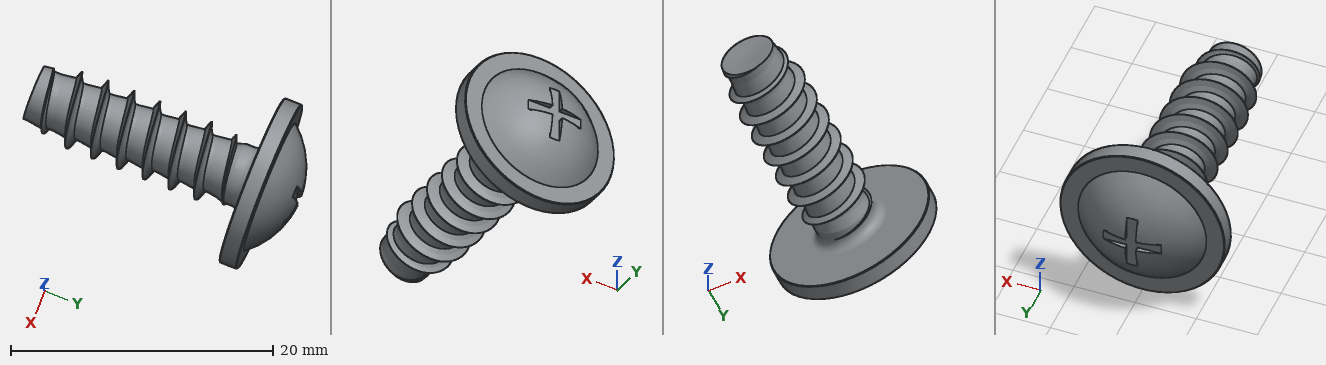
import cadquery as cq
import math


flange_radius = 6.75
flange_thickness = 1.42
flange_edge_chamfer = 0.07
dome_radius_at_flange = 5.25
dome_height = 2.52
slot_width = 0.88
slot_floor_height = 2.08

collar_radius = 2.4
collar_length = 1.45
collar_fillet = 0.77
root_radius = 2.13
collar_taper_end_depth = 2.52
collar_taper_end_radius = 2.08
shank_length = 17.99
tip_dish_radius = 1.95
tip_dish_depth = 0.13

pitch = 2.13
crest_radius = 3.0
crest_half_width = 0.02
knee_radius = 2.5
knee_offset = 0.2
flank_foot_offset = 0.42
ramp_top_radius = 2.28
ramp_top_offset = 0.28
ramp_end_offset = 1.4
crest_phase_depth = 3.53
spans_per_turn = 4
samples_per_span = 6
thread_start = (-1.5, 2.32)
full_height_start = (0, crest_radius)
full_height_end = (5.25, crest_radius)
ridge_vanish = (6.75, 2.17)
thread_end = (7.5, 2.17)


def crest_radius_at(turn):
    """Crest radius at a turn, from the rise, full-height and run-out stretches."""
    stations = [thread_start, full_height_start, full_height_end, ridge_vanish, thread_end]
    for (turn_a, radius_a), (turn_b, radius_b) in zip(stations, stations[1:]):
        if turn <= turn_b:
            return radius_a + (radius_b - radius_a) * (turn - turn_a) / (turn_b - turn_a)


def thread_profile(turn):
    """One pitch of the thread as (radius, offset) points, from root to root along the axis."""
    crest = crest_radius_at(turn)
    height_share = (crest - root_radius) / (crest_radius - root_radius)
    ramp_slope = (ramp_top_radius - root_radius) / (ramp_end_offset - ramp_top_offset)
    ramp_top = ramp_top_offset * height_share
    ramp_radius = root_radius + ramp_slope * (ramp_end_offset - ramp_top)
    return [
        (root_radius, ramp_end_offset - pitch),
        (root_radius, -flank_foot_offset * height_share),
        (root_radius + (knee_radius - root_radius) * height_share, -knee_offset * height_share),
        (crest, -crest_half_width * height_share),
        (crest, crest_half_width * height_share),
        (min(ramp_radius, crest), ramp_top),
        (root_radius, ramp_end_offset),
    ]


def helix_point(radius, offset, turn):
    """Point on the right-handed thread helix; offset is added depth along the axis."""
    angle = 2 * math.pi * turn
    depth = crest_phase_depth + pitch * turn + offset
    return cq.Vector(radius * math.cos(angle), -depth, radius * math.sin(angle))


def helix_edge(start_point, end_point, start_turn, end_turn):
    """Spline edge winding between two (radius, offset) points."""
    points = []
    for i in range(samples_per_span + 1):
        share = i / samples_per_span
        radius = start_point[0] + share * (end_point[0] - start_point[0])
        offset = start_point[1] + share * (end_point[1] - start_point[1])
        points.append(helix_point(radius, offset, start_turn + share * (end_turn - start_turn)))
    return cq.Edge.makeSpline(points)


def axis_edge(offset, start_turn, end_turn):
    """Stretch of the axis level with a helix edge of the given offset."""
    return cq.Edge.makeLine(helix_point(0, offset, start_turn), helix_point(0, offset, end_turn))


def make_thread():
    """Threaded core: a helical skin closed at both ends by helicoids and flat steps."""
    first_turn = thread_start[0]
    last_turn = thread_end[0]
    span_count = round((last_turn - first_turn) * spans_per_turn)
    turns = [first_turn + i / spans_per_turn for i in range(span_count + 1)]
    faces = []
    for i, (turn_a, turn_b) in enumerate(zip(turns, turns[1:])):
        edges = [
            helix_edge(point_a, point_b, turn_a, turn_b)
            for point_a, point_b in zip(thread_profile(turn_a), thread_profile(turn_b))
        ]
        for edge, next_edge in zip(edges, edges[1:]):
            faces.append(cq.Face.makeRuledSurface(edge, next_edge))
        if i < spans_per_turn:
            start_axis = axis_edge(ramp_end_offset - pitch, turn_a, turn_b)
            faces.append(cq.Face.makeRuledSurface(start_axis, edges[0]))
        if i >= span_count - spans_per_turn:
            end_axis = axis_edge(ramp_end_offset, turn_a, turn_b)
            faces.append(cq.Face.makeRuledSurface(edges[-1], end_axis))
    for turn in (first_turn, last_turn):
        outline = [(0, ramp_end_offset - pitch)] + thread_profile(turn) + [(0, ramp_end_offset)]
        corners = [helix_point(radius, offset, turn) for radius, offset in outline]
        faces.append(cq.Face.makeFromWires(cq.Wire.makePolygon(corners, close=True)))
    thread = cq.Workplane(obj=cq.Solid.makeSolid(cq.Shell.makeShell(faces)).fix())
    return thread.cut(make_tip_space())


def make_tip_space():
    """Space past the flat tip, with a cone that dishes the tip."""
    far_depth = 2 * shank_length
    clearance_radius = 2 * crest_radius
    return (
        cq.Workplane("ZY")
        .moveTo(0, tip_dish_depth - shank_length)
        .lineTo(tip_dish_radius, -shank_length)
        .lineTo(clearance_radius, -shank_length)
        .lineTo(clearance_radius, -far_depth)
        .lineTo(0, -far_depth)
        .close()
        .revolve(360, (0, 0, 0), (0, 1, 0))
    )


def make_head():
    """Revolve the head and the collar, whose tapered end is buried in the thread core."""
    dome_sphere_radius = (dome_radius_at_flange**2 + dome_height**2) / (2 * dome_height)
    half_angle = math.asin(dome_radius_at_flange / dome_sphere_radius) / 2
    dome_mid_radius = dome_sphere_radius * math.sin(half_angle)
    dome_top = flange_thickness + dome_height
    dome_mid_y = dome_top - dome_sphere_radius * (1 - math.cos(half_angle))
    fillet_mid = collar_fillet * (1 - math.sqrt(0.5))
    return (
        cq.Workplane("ZY")
        .moveTo(0, dome_top)
        .threePointArc((dome_mid_radius, dome_mid_y), (dome_radius_at_flange, flange_thickness))
        .lineTo(flange_radius - flange_edge_chamfer, flange_thickness)
        .lineTo(flange_radius, flange_thickness - flange_edge_chamfer)
        .lineTo(flange_radius, flange_edge_chamfer)
        .lineTo(flange_radius - flange_edge_chamfer, 0)
        .lineTo(collar_radius + collar_fillet, 0)
        .threePointArc((collar_radius + fillet_mid, -fillet_mid), (collar_radius, -collar_fillet))
        .lineTo(collar_radius, -collar_length)
        .lineTo(collar_taper_end_radius, -collar_taper_end_depth)
        .lineTo(0, -collar_taper_end_depth)
        .close()
        .revolve(360, (0, 0, 0), (0, 1, 0))
    )


def make_cross_slots():
    """Two crossing straight slots over the dome."""
    floor_y = flange_thickness + slot_floor_height
    slot = cq.Workplane("XY").box(slot_width, dome_height, 2 * flange_radius)
    slot = slot.translate((0, floor_y + dome_height / 2, 0))
    return slot.union(slot.rotate((0, 0, 0), (0, 1, 0), 90))


result = make_head().union(make_thread()).cut(make_cross_slots()).solids()